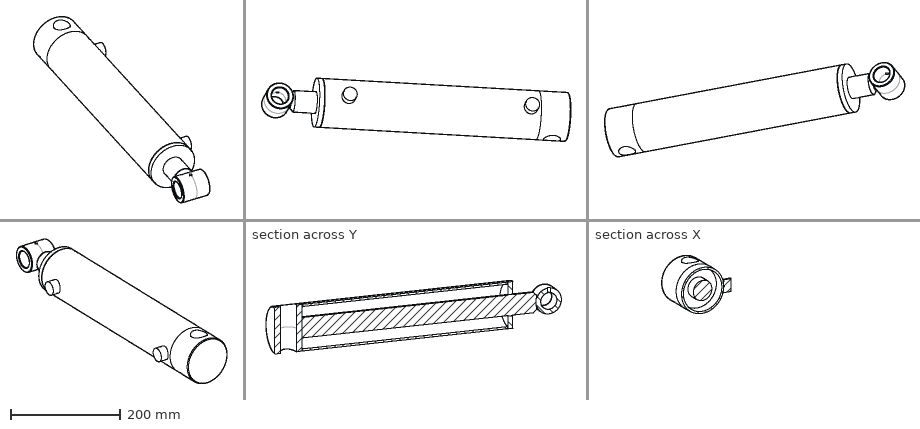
import cadquery as cq


BARREL_DIAMETER = 90.0
BARREL_RADIUS = BARREL_DIAMETER / 2
BORE_DIAMETER = 80.0
BASE_LENGTH = 55.0
BASE_CHAMFER = 1.5
RING_LENGTH = 1.0
GLAND_LENGTH = 9.0
BARREL_LENGTH = 467.5
GLAND_START = BARREL_LENGTH - GLAND_LENGTH
RING_START = GLAND_START - RING_LENGTH
TUBE_LENGTH = RING_START - BASE_LENGTH

PIN_DIAMETER = 31.0
BASE_PIN_X = 27.5

PORT_DIAMETER = 26.0
PORT_TOP_Y = 60.0
PORT_POSITIONS = (74.5, 413.0)

OVERALL_LENGTH = 563.0
EYE_DIAMETER = 50.0
EYE_WIDTH = 55.0
EYE_CHAMFER = 1.4
EYE_RADIUS = EYE_DIAMETER / 2
EYE_X = OVERALL_LENGTH - EYE_RADIUS
GREASE_HOLE_DIAMETER = 5.0

ROD_DIAMETER = 40.0
SHANK_END = 508.5
NECK_START_DIAMETER = 38.5
NECK_END_DIAMETER = 27.0
NECK_LENGTH = 6.0


def bar_along_x(start, length, diameter):
    """Solid round bar on the cylinder axis."""
    return cq.Workplane("YZ", origin=(start, 0, 0)).circle(diameter / 2).extrude(length)


def bar_along_y(x, width, diameter):
    """Solid round bar along Y, centred on the cylinder axis."""
    return cq.Workplane("XZ", origin=(x, 0, 0)).circle(diameter / 2).extrude(width / 2, both=True)


def make_base_cap():
    """Closed end of the barrel, with a vertical pin hole."""
    cap = bar_along_x(0, BASE_LENGTH, BARREL_DIAMETER).faces("<X").chamfer(BASE_CHAMFER)
    pin_hole = (
        cq.Workplane("XY", origin=(BASE_PIN_X, 0, 0))
        .circle(PIN_DIAMETER / 2)
        .extrude(BARREL_RADIUS, both=True)
    )
    return cap.cut(pin_hole)


def make_tube():
    """Barrel tube between the base cap and the seal ring."""
    outside = bar_along_x(BASE_LENGTH, TUBE_LENGTH, BARREL_DIAMETER)
    return outside.cut(bar_along_x(BASE_LENGTH, TUBE_LENGTH, BORE_DIAMETER))


def make_rod_guide(start, length):
    """Disc at the open end of the barrel, bored to fit the rod."""
    disc = bar_along_x(start, length, BARREL_DIAMETER)
    return disc.cut(bar_along_x(start, length, ROD_DIAMETER))


def make_port(x):
    """Round boss whose foot is shaped to sit on the tube."""
    boss = cq.Workplane("XZ", origin=(x, 0, 0)).circle(PORT_DIAMETER / 2).extrude(-PORT_TOP_Y)
    return boss.cut(bar_along_x(BASE_LENGTH, TUBE_LENGTH, BARREL_DIAMETER))


def make_rod():
    """Rod from the base cap to the eye, its neck end hollowed to fit the eye."""
    shank = bar_along_x(BASE_LENGTH, SHANK_END - BASE_LENGTH, ROD_DIAMETER)
    neck = (
        cq.Workplane("YZ", origin=(SHANK_END, 0, 0))
        .circle(NECK_START_DIAMETER / 2)
        .workplane(offset=NECK_LENGTH)
        .circle(NECK_END_DIAMETER / 2)
        .loft()
    )
    return shank.union(neck).cut(bar_along_y(EYE_X, EYE_WIDTH, EYE_DIAMETER))


def make_eye():
    """Bushing-shaped eye with chamfered rims and a grease hole in its top."""
    eye = bar_along_y(EYE_X, EYE_WIDTH, EYE_DIAMETER)
    eye = eye.cut(bar_along_y(EYE_X, EYE_WIDTH, PIN_DIAMETER))
    eye = eye.faces("<Y or >Y").chamfer(EYE_CHAMFER)
    grease_hole = (
        cq.Workplane("XY", origin=(EYE_X, 0, 0))
        .circle(GREASE_HOLE_DIAMETER / 2)
        .extrude(EYE_RADIUS)
    )
    return eye.cut(grease_hole)


base_cap = make_base_cap()
tube = make_tube()
seal_ring = make_rod_guide(RING_START, RING_LENGTH)
gland = make_rod_guide(GLAND_START, GLAND_LENGTH)
ports = [make_port(x) for x in PORT_POSITIONS]
rod = make_rod()
eye = make_eye()

result = cq.Compound.makeCompound(
    [
        base_cap.val(),
        tube.val(),
        seal_ring.val(),
        gland.val(),
        *[port.val() for port in ports],
        rod.val(),
        eye.val(),
    ]
)